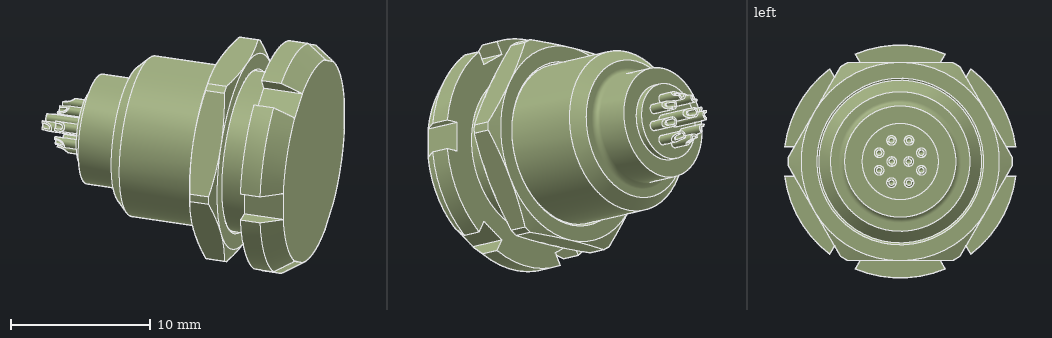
import cadquery as cq
import math

overall_length = 20.3

rear_face_x = 3.8
rear_d = 8.0
shoulder_x = 6.6
shoulder_d = 10.03
shoulder_fillet = 0.4
barrel_start_x = 7.47
barrel_d = 11.7

flange_d = 16.75
flange_front_d = 14.82
flange_start_x = 17.38
flange_bevel_x = 18.85
slot_count = 6
slot_width = 2.11
slot_floor_radius = 7.3

nut_start_x = 13.15
nut_width = 2.1
nut_sides = 6
nut_flats = 14.25
nut_corner_d = 16.12
nut_bevel_angle = 20.0
nut_countersink = 0.15

insert_d = 5.48
insert_rear_x = 3.25
insert_seat_x = shoulder_x

contact_d = 0.7
contact_radius = contact_d / 2
ring_contact_count = 8
ring_radius = 1.65
ring_tip_x = 1.25
inner_contact_count = 2
inner_radius = 0.6
inner_tip_x = 0.0
cup_bore_d = 0.39
cup_length = 0.83
drill_point_angle = 118.0
scoop_radius = (cup_length**2 + contact_radius**2) / contact_d


def x_cylinder(diameter, start_x, end_x):
    """Cylinder about the X axis between two X positions."""
    return cq.Workplane("YZ").workplane(offset=start_x).circle(diameter / 2).extrude(end_x - start_x)


def turned(profile):
    """Turn a closed XY half-profile about the X axis."""
    return profile.close().revolve(360, (0, 0, 0), (1, 0, 0))


def cut_flange_slots(shell):
    """Cut flat-floored slots across the flange rim, the first one facing +Y."""
    slot = (
        cq.Workplane("XY")
        .box(
            overall_length - flange_start_x,
            flange_d / 2,
            slot_width,
            centered=(False, False, True),
        )
        .translate((flange_start_x, slot_floor_radius, 0))
    )
    for index in range(slot_count):
        shell = shell.cut(slot.rotate((0, 0, 0), (1, 0, 0), index * 360 / slot_count))
    return shell


def make_shell():
    """Stepped shell with a slotted flange and a blind seat for the insert."""
    rear_radius = rear_d / 2
    fillet_mid = shoulder_fillet * math.sqrt(0.5)
    profile = (
        cq.Workplane("XY")
        .moveTo(rear_face_x, 0)
        .lineTo(rear_face_x, rear_radius)
        .lineTo(shoulder_x - shoulder_fillet, rear_radius)
        .threePointArc(
            (
                shoulder_x - shoulder_fillet + fillet_mid,
                rear_radius + shoulder_fillet - fillet_mid,
            ),
            (shoulder_x, rear_radius + shoulder_fillet),
        )
        .lineTo(shoulder_x, shoulder_d / 2)
        .lineTo(barrel_start_x, barrel_d / 2)
        .lineTo(flange_start_x, barrel_d / 2)
        .lineTo(flange_start_x, flange_d / 2)
        .lineTo(flange_bevel_x, flange_d / 2)
        .lineTo(overall_length, flange_front_d / 2)
        .lineTo(overall_length, 0)
    )
    shell = cut_flange_slots(turned(profile))
    insert_seat = x_cylinder(insert_d, rear_face_x, insert_seat_x)
    return shell.cut(insert_seat)


def make_nut():
    """Hexagon nut with two flats facing +Z and -Z, bevelled corners and a countersunk bore."""
    nut_end_x = nut_start_x + nut_width
    hexagon = (
        cq.Workplane("YZ")
        .workplane(offset=nut_start_x)
        .polygon(nut_sides, nut_flats, circumscribed=True)
        .extrude(nut_width)
        .rotate((0, 0, 0), (1, 0, 0), 180 / nut_sides)
    )
    corner_radius = nut_corner_d / 2
    face_radius = nut_flats / 2
    bore_radius = barrel_d / 2
    bevel_length = (corner_radius - face_radius) * math.tan(math.radians(nut_bevel_angle))
    envelope = turned(
        cq.Workplane("XY")
        .moveTo(nut_start_x, bore_radius + nut_countersink)
        .lineTo(nut_start_x, face_radius)
        .lineTo(nut_start_x + bevel_length, corner_radius)
        .lineTo(nut_end_x - bevel_length, corner_radius)
        .lineTo(nut_end_x, face_radius)
        .lineTo(nut_end_x, bore_radius + nut_countersink)
        .lineTo(nut_end_x - nut_countersink, bore_radius)
        .lineTo(nut_start_x + nut_countersink, bore_radius)
    )
    return hexagon.intersect(envelope)


def make_contact(tip_x, radius, angle):
    """Contact pin whose solder cup opens away from the X axis."""
    bore_radius = cup_bore_d / 2
    point_length = bore_radius / math.tan(math.radians(drill_point_angle / 2))
    pin = x_cylinder(contact_d, tip_x, insert_rear_x)
    bore = turned(
        cq.Workplane("XY")
        .moveTo(tip_x, 0)
        .lineTo(tip_x, bore_radius)
        .lineTo(tip_x + cup_length, bore_radius)
        .lineTo(tip_x + cup_length + point_length, 0)
    )
    scoop = (
        cq.Workplane("XY")
        .center(tip_x, scoop_radius)
        .circle(scoop_radius)
        .extrude(contact_radius, both=True)
    )
    contact = pin.cut(bore).cut(scoop)
    return contact.translate((0, radius, 0)).rotate((0, 0, 0), (1, 0, 0), angle)


def make_insert():
    """Insert disc in one piece with a ring of short contacts and two longer inner ones."""
    insert = x_cylinder(insert_d, insert_rear_x, insert_seat_x)
    ring_step = 360 / ring_contact_count
    for index in range(ring_contact_count):
        insert = insert.union(make_contact(ring_tip_x, ring_radius, (index + 0.5) * ring_step))
    for index in range(inner_contact_count):
        insert = insert.union(make_contact(inner_tip_x, inner_radius, index * 360 / inner_contact_count))
    return insert


shell = make_shell()
nut = make_nut()
insert = make_insert()

result = cq.Compound.makeCompound([shell.val(), nut.val(), insert.val()])